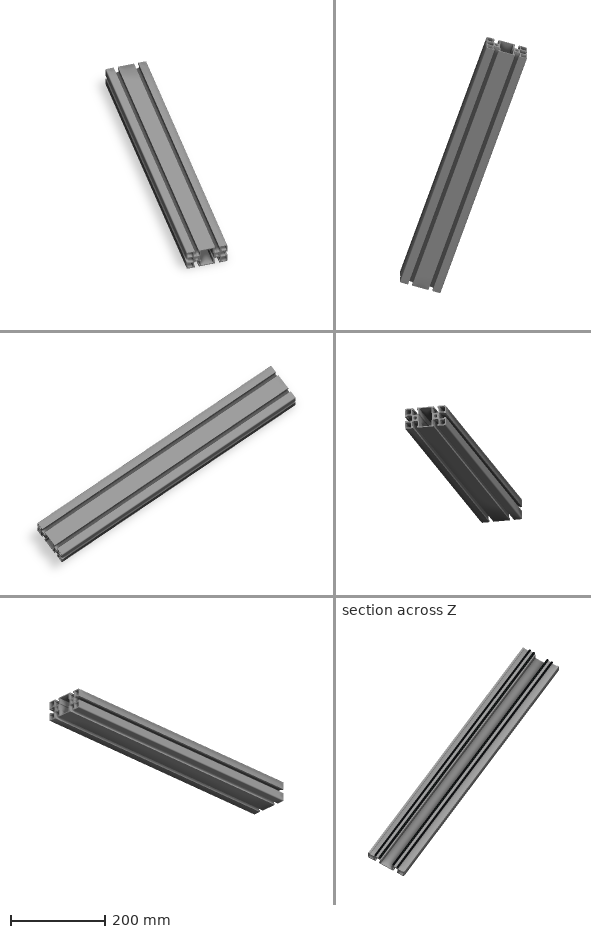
import cadquery as cq

LENGTH = 609.6
MODULE = 45.0
WIDTH = 2 * MODULE
HEIGHT = MODULE
CORNER_RADIUS = 2.5

SLOT_OPENING = 9.0
SLOT_INNER_WIDTH = 13.0
SLOT_DEPTH = 15.25
LIP_THICKNESS = 4.4
SLOT_FLOOR_CHAMFER = 1.5
GROOVE_WIDTH = 1.5
GROOVE_DEPTH = 0.5

OUTER_WALL = 2.0
SLOT_WALL = 2.5
POCKET_FILLET = 4.0
POCKET_CHAMFER = 1.8
CORE_BORE_DIAMETER = 7.5
FLARE_HEIGHT = 1.0

MODULE_CENTRE = MODULE / 2
CORE_HALF = MODULE / 2 - SLOT_DEPTH
CAVITY_OFFSET = SLOT_INNER_WIDTH / 2 + SLOT_WALL


def extrude_along_x(sketch):
    """Extrude a closed YZ outline over the full length, centred on X = 0."""
    return sketch.extrude(LENGTH / 2, both=True)


def outer_block():
    block = extrude_along_x(cq.Workplane("YZ").rect(WIDTH, HEIGHT))
    return block.edges("|X").fillet(CORNER_RADIUS)


def slot_cutter():
    """T-slot open towards +Z, in a module centred on the X axis."""
    face = HEIGHT / 2
    lip = face - LIP_THICKNESS
    floor = face - SLOT_DEPTH
    half_opening = SLOT_OPENING / 2
    half_inner = SLOT_INNER_WIDTH / 2
    half_floor = half_inner - SLOT_FLOOR_CHAMFER
    right_side = [
        (GROOVE_WIDTH / 2, floor),
        (half_floor, floor),
        (half_inner, floor + SLOT_FLOOR_CHAMFER),
        (half_inner, lip),
        (half_opening, lip),
        (half_opening, face),
    ]
    left_side = [(-y, z) for y, z in reversed(right_side)]
    groove_tip = (0, floor - GROOVE_DEPTH)
    outline = [groove_tip] + right_side + left_side
    return extrude_along_x(cq.Workplane("YZ").polyline(outline).close())


def corner_pocket():
    """Hollow in the +Y +Z corner of a module centred on the X axis."""
    far = MODULE / 2 - OUTER_WALL
    size = far - CAVITY_OFFSET
    centre = (far + CAVITY_OFFSET) / 2
    pocket = extrude_along_x(cq.Workplane("YZ").center(centre, centre).rect(size, size))
    pocket = pocket.edges("|X and >Y and >Z").fillet(POCKET_FILLET)
    return pocket.edges("|X and <Y and <Z").chamfer(POCKET_CHAMFER)


def core_bore():
    return extrude_along_x(cq.Workplane("YZ").circle(CORE_BORE_DIAMETER / 2))


def central_cavity():
    """Box cavity between the two modules, widened where it meets the cores."""
    wall_y = MODULE_CENTRE - CAVITY_OFFSET
    core_y = MODULE_CENTRE - CORE_HALF
    top = HEIGHT / 2 - OUTER_WALL
    flare_z = CORE_HALF + FLARE_HEIGHT
    right_side = [
        (wall_y, -top),
        (wall_y, -flare_z),
        (core_y, -CORE_HALF),
        (core_y, CORE_HALF),
        (wall_y, flare_z),
        (wall_y, top),
    ]
    left_side = [(-y, z) for y, z in reversed(right_side)]
    return extrude_along_x(cq.Workplane("YZ").polyline(right_side + left_side).close())


def module_cutters():
    """Everything removed from a module centred on the X axis, as separate tools."""
    slot = slot_cutter()
    pocket = corner_pocket()
    slots = [slot.rotate((0, 0, 0), (1, 0, 0), angle) for angle in (0, -90, 180)]
    return slots + [pocket, pocket.mirror("XY"), core_bore()]


result = outer_block().cut(central_cavity())
for cutter in module_cutters():
    placed = cutter.translate((0, MODULE_CENTRE, 0))
    result = result.cut(placed).cut(placed.mirror("XZ"))